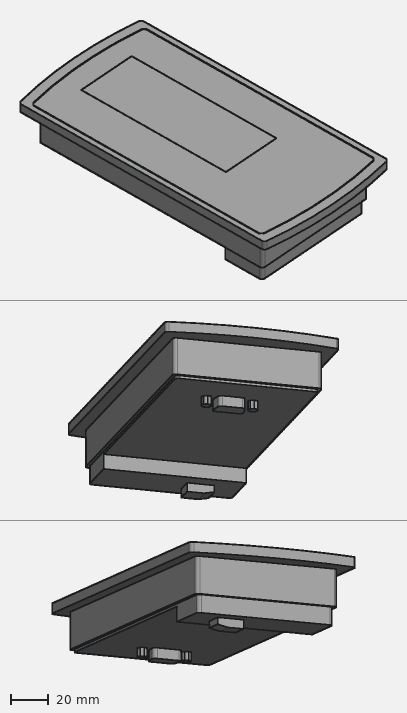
import cadquery as cq
import math

bezel_thickness = 5.6
body_depth = 20.3
cover_step = 1.6
housing_depth = 8.2
plug_depth = 4.9
shell_height = 5.8
standoff_height = 4.7

body_bottom = -body_depth
cover_bottom = body_bottom - cover_step
housing_bottom = cover_bottom - housing_depth

bezel_length = 185.6
bezel_width = 96.3
bow_radius = 266.0
bow_apex_y = 1.4
bezel_corner_radius = 2.2

recess_margin_x = 6.3
recess_margin_y = 3.85
recess_corner_radius = 2.5
recess_depth = 0.5
window_length = 104.0
window_width = 39.4
window_center = (-19.9, 2.6)
window_depth = 0.1

body_length = 160.9
body_width = 82.4
rear_corner_radius = 2.0
cover_inset = 1.75
cover_length = body_length - 2 * cover_inset
cover_width = body_width - 2 * cover_inset

housing_length = 26.7
plug_length = 10.6
plug_width = 15.1
plug_center_x = 66.2
plug_y_max = -9.4
plug_slope_length = 5.8
plug_slope_rise = 1.2

connector_center = (-53.45, 1.9)
shell_width = 17.7
shell_length = 9.4
shell_taper = math.radians(10)
shell_corner_radius = 2.1
standoff_pitch = 25.7
standoff_sides = 8
standoff_diameter = 5.6


def bowed_plate(length, width, radius, corner_radius, bottom, height):
    """Plate whose two short ends are arcs with their apex at bow_apex_y."""
    def end_x(y):
        sag = radius - math.sqrt(radius**2 - (y - bow_apex_y) ** 2)
        return length / 2 - sag

    half = width / 2
    return (
        cq.Workplane("XY", origin=(0, 0, bottom))
        .moveTo(-end_x(-half), -half)
        .lineTo(end_x(-half), -half)
        .threePointArc((length / 2, bow_apex_y), (end_x(half), half))
        .lineTo(-end_x(half), half)
        .threePointArc((-length / 2, bow_apex_y), (-end_x(-half), -half))
        .close()
        .extrude(height)
        .edges("|Z")
        .fillet(corner_radius)
    )


def rounded_block(length, width, top, bottom):
    """Block centred on the Z axis with rounded vertical edges."""
    return (
        cq.Workplane("XY", origin=(0, 0, bottom))
        .rect(length, width)
        .extrude(top - bottom)
        .edges("|Z")
        .fillet(rear_corner_radius)
    )


def make_bezel():
    bezel = bowed_plate(
        bezel_length, bezel_width, bow_radius, bezel_corner_radius, 0, bezel_thickness
    )
    recess_floor = bezel_thickness - recess_depth
    recess = bowed_plate(
        bezel_length - 2 * recess_margin_x,
        bezel_width - 2 * recess_margin_y,
        bow_radius - recess_margin_x,
        recess_corner_radius,
        recess_floor,
        recess_depth,
    )
    window = (
        cq.Workplane("XY", origin=(*window_center, recess_floor - window_depth))
        .rect(window_length, window_width)
        .extrude(window_depth)
    )
    return bezel.cut(recess).cut(window)


def make_housing():
    """The +X end of the cover outline, extended down below the cover."""
    full_outline = rounded_block(cover_length, cover_width, cover_bottom, housing_bottom)
    end_region = cq.Workplane(
        "XY", origin=(cover_length / 2 - housing_length / 2, 0, housing_bottom)
    ).box(housing_length, cover_width, housing_depth, centered=(True, True, False))
    return full_outline.intersect(end_region)


def make_plug():
    """Plug with its lower face sloping up toward -Y."""
    plug_y_min = plug_y_max - plug_width
    plug_bottom = housing_bottom - plug_depth
    profile = [
        (plug_y_max, housing_bottom),
        (plug_y_max, plug_bottom),
        (plug_y_min + plug_slope_length, plug_bottom),
        (plug_y_min, plug_bottom + plug_slope_rise),
        (plug_y_min, housing_bottom),
    ]
    return (
        cq.Workplane("YZ", origin=(plug_center_x - plug_length / 2, 0, 0))
        .polyline(profile)
        .close()
        .extrude(plug_length)
    )


def make_connector_shell():
    """Trapezoid with rounded corners, narrowing toward -X."""
    half_wide = shell_width / 2
    half_narrow = half_wide - shell_length * math.tan(shell_taper)
    half_length = shell_length / 2
    outline = [
        (-half_length, -half_narrow),
        (half_length, -half_wide),
        (half_length, half_wide),
        (-half_length, half_narrow),
    ]
    return (
        cq.Workplane("XY", origin=(*connector_center, cover_bottom - shell_height))
        .polyline(outline)
        .close()
        .extrude(shell_height)
        .edges("|Z")
        .fillet(shell_corner_radius)
    )


def make_standoffs():
    return (
        cq.Workplane("XY", origin=(*connector_center, cover_bottom - standoff_height))
        .pushPoints([(0, -standoff_pitch / 2), (0, standoff_pitch / 2)])
        .polygon(standoff_sides, standoff_diameter)
        .extrude(standoff_height)
    )


result = (
    make_bezel()
    .union(rounded_block(body_length, body_width, 0, body_bottom))
    .union(rounded_block(cover_length, cover_width, body_bottom, cover_bottom))
    .union(make_housing())
    .union(make_plug())
    .union(make_connector_shell())
    .union(make_standoffs())
)